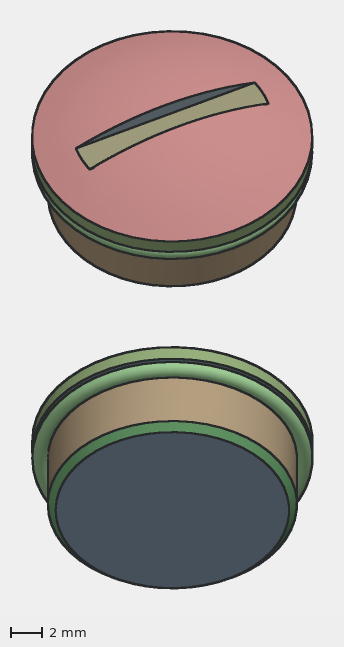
import cadquery as cq

head_diameter = 18.0
plug_diameter = 16.0
total_height = 8.03
rim_height = 1.0
dome_rise = 2.03
chamfer_size = 0.5
slot_width = 2.0
slot_depth = 1.03

head_radius = head_diameter / 2
plug_radius = plug_diameter / 2
rim_top = total_height - dome_rise
rim_bottom = rim_top - rim_height
dome_radius = (head_radius**2 + dome_rise**2) / (2 * dome_rise)
dome_center_height = total_height - dome_radius
dome_mid_radius = head_radius / 2
dome_mid_height = dome_center_height + (dome_radius**2 - dome_mid_radius**2) ** 0.5

ring_section_radius = (head_radius - plug_radius) / 2
ring_center_radius = plug_radius + ring_section_radius
ring_center_height = rim_bottom - ring_section_radius


def make_screw_plug():
    """Revolved plug with a domed head and a screwdriver slot along Y."""
    body = (
        cq.Workplane("XZ")
        .moveTo(0, 0)
        .lineTo(plug_radius - chamfer_size, 0)
        .lineTo(plug_radius, chamfer_size)
        .lineTo(plug_radius, rim_bottom)
        .lineTo(head_radius, rim_bottom)
        .lineTo(head_radius, rim_top)
        .threePointArc((dome_mid_radius, dome_mid_height), (0, total_height))
        .close()
        .revolve(360, (0, 0), (0, 1))
    )
    slot = (
        cq.Workplane("XY")
        .workplane(offset=total_height - slot_depth)
        .rect(slot_width, head_diameter)
        .extrude(2 * slot_depth)
    )
    return body.cut(slot)


def make_seal_ring():
    """Round-section ring around the plug, seated under the head."""
    return (
        cq.Workplane("XZ")
        .center(ring_center_radius, ring_center_height)
        .circle(ring_section_radius)
        .revolve(360, (-ring_center_radius, 0), (-ring_center_radius, 1))
    )


screw_plug = make_screw_plug()
seal_ring = make_seal_ring()

result = cq.Compound.makeCompound([screw_plug.val(), seal_ring.val()])